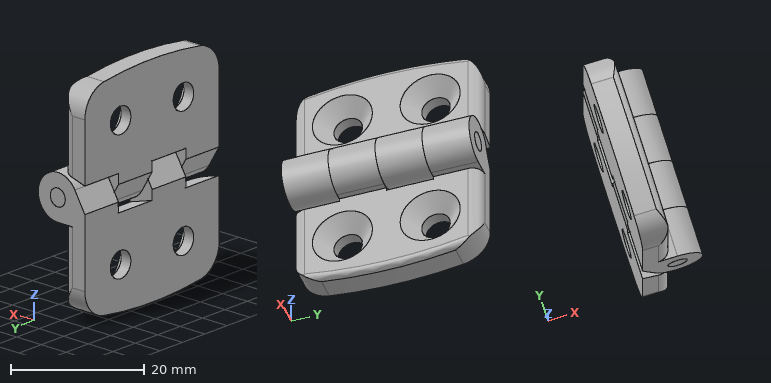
import cadquery as cq
import math

WIDTH = 30.0
HALF_HEIGHT = 19.45
THICKNESS = 4.5
CROWN_RADIUS = 73.93
CORNER_RADIUS = 5.0
SIDE_ROUND = 2.0
CROWN_ROUND = 1.0

TOTAL_DEPTH = 9.5
BARREL_RADIUS = 4.0
BARREL_X = TOTAL_DEPTH - BARREL_RADIUS
PIN_RADIUS = 1.5
BEVEL_START_Z = 1.4
KNUCKLE_COUNT = 4
OWN_KNUCKLES = range(0, KNUCKLE_COUNT, 2)
KNUCKLE_LENGTH = WIDTH / KNUCKLE_COUNT

RECESS_BACK_Z = 3.15
RECESS_FRONT_Z = 4.47

HOLE_RADIUS = 2.25
HOLE_Y = 7.0
HOLE_Z = 11.5
SINK_START_X = 2.0
SINK_ANGLE = 90.0

HALF_WIDTH = WIDTH / 2
CROWN_CENTER_Z = HALF_HEIGHT - CROWN_RADIUS


def crown_z(y, radius):
    """Height of a circle concentric with the crown at distance y from the middle."""
    return CROWN_CENTER_Z + math.sqrt(radius**2 - y**2)


def knuckle_start(index):
    """Y of the -Y end of a knuckle position."""
    return -HALF_WIDTH + index * KNUCKLE_LENGTH


def rounded_corner_outline():
    """Plate with a crowned top edge and tangent corner arcs, without edge rounds."""
    center_y = HALF_WIDTH - CORNER_RADIUS
    center_z = crown_z(center_y, CROWN_RADIUS - CORNER_RADIUS)
    crown_lean = math.asin(center_y / (CROWN_RADIUS - CORNER_RADIUS))
    middle_angle = (crown_lean + math.pi / 2) / 2

    def corner_point(lean):
        """Point on the corner arc whose normal leans this far from vertical."""
        y = center_y + CORNER_RADIUS * math.sin(lean)
        z = center_z + CORNER_RADIUS * math.cos(lean)
        return y, z

    crown_end = corner_point(crown_lean)
    corner_middle = corner_point(middle_angle)
    return (
        cq.Workplane("YZ")
        .moveTo(-HALF_WIDTH, 0)
        .lineTo(HALF_WIDTH, 0)
        .lineTo(HALF_WIDTH, center_z)
        .threePointArc(corner_middle, crown_end)
        .threePointArc((0, HALF_HEIGHT), (-crown_end[0], crown_end[1]))
        .threePointArc((-corner_middle[0], corner_middle[1]), (-HALF_WIDTH, center_z))
        .close()
        .extrude(THICKNESS)
    )


def side_rounded_slab():
    """Slab whose two front side edges are rounded straight along Z."""
    return (
        cq.Workplane("XY")
        .box(THICKNESS, WIDTH, HALF_HEIGHT, centered=(False, True, False))
        .edges("|Z and >X")
        .fillet(SIDE_ROUND)
    )


def crown_rounded_slab():
    """Slab whose rounded front top edge follows the crown across the full width."""
    crown_end_z = crown_z(HALF_WIDTH, CROWN_RADIUS)
    slab = (
        cq.Workplane("YZ")
        .moveTo(-HALF_WIDTH, 0)
        .lineTo(HALF_WIDTH, 0)
        .lineTo(HALF_WIDTH, crown_end_z)
        .threePointArc((0, HALF_HEIGHT), (-HALF_WIDTH, crown_end_z))
        .close()
        .extrude(THICKNESS)
    )
    return slab.faces(">X").edges(">Z").fillet(CROWN_ROUND)


def hinge_edge_cutter(index):
    """Material to trim below the plate in one knuckle position, counted from the -Y end."""
    if index in OWN_KNUCKLES:
        back_z, front_z = BARREL_RADIUS, BARREL_RADIUS
    else:
        back_z, front_z = RECESS_BACK_Z, RECESS_FRONT_Z
    return (
        cq.Workplane("XZ", origin=(0, knuckle_start(index), 0))
        .polyline([(0, 0), (THICKNESS, 0), (THICKNESS, front_z), (0, back_z)])
        .close()
        .extrude(-KNUCKLE_LENGTH)
    )


def plate():
    """Rounded plate, ending flat on its own knuckles and sloped between them."""
    body = rounded_corner_outline().intersect(side_rounded_slab()).intersect(crown_rounded_slab())
    for index in range(KNUCKLE_COUNT):
        body = body.cut(hinge_edge_cutter(index))
    return body


def knuckle(index):
    """Barrel joined to the plate by a flat top and a bevel tangent to the barrel."""
    distance = math.hypot(BARREL_X, BEVEL_START_Z)
    touch_angle = math.atan2(BEVEL_START_Z, -BARREL_X) + math.acos(BARREL_RADIUS / distance)
    touch_x = BARREL_X + BARREL_RADIUS * math.cos(touch_angle)
    touch_z = BARREL_RADIUS * math.sin(touch_angle)
    return (
        cq.Workplane("XZ", origin=(0, knuckle_start(index), 0))
        .moveTo(0, BEVEL_START_Z)
        .lineTo(touch_x, touch_z)
        .threePointArc((BARREL_X + BARREL_RADIUS, 0), (BARREL_X, BARREL_RADIUS))
        .lineTo(0, BARREL_RADIUS)
        .close()
        .extrude(-KNUCKLE_LENGTH)
    )


def pin_cylinder():
    """Cylinder along the hinge axis, over the full width."""
    return cq.Workplane("XZ", origin=(BARREL_X, 0, 0)).circle(PIN_RADIUS).extrude(HALF_WIDTH, both=True)


def screw_hole_cutter(y):
    """Through hole with a conical countersink that opens at the front face."""
    sink_depth = THICKNESS - SINK_START_X
    sink_radius = HOLE_RADIUS + sink_depth * math.tan(math.radians(SINK_ANGLE / 2))
    return (
        cq.Workplane("XY", origin=(0, y, HOLE_Z))
        .polyline(
            [(0, 0), (0, HOLE_RADIUS), (SINK_START_X, HOLE_RADIUS), (THICKNESS, sink_radius), (THICKNESS, 0)]
        )
        .close()
        .revolve(360, (0, 0, 0), (1, 0, 0))
    )


def leaf():
    """Upper leaf: plate, every second knuckle from the -Y end, pin bore and screw holes."""
    body = plate()
    for index in OWN_KNUCKLES:
        body = body.union(knuckle(index))
    body = body.cut(pin_cylinder())
    for side in (-1, 1):
        body = body.cut(screw_hole_cutter(side * HOLE_Y))
    return body.solids()


upper_leaf = leaf()
lower_leaf = upper_leaf.rotate((0, 0, 0), (1, 0, 0), 180)
pin = pin_cylinder()

result = cq.Compound.makeCompound([upper_leaf.val(), lower_leaf.val(), pin.val()])